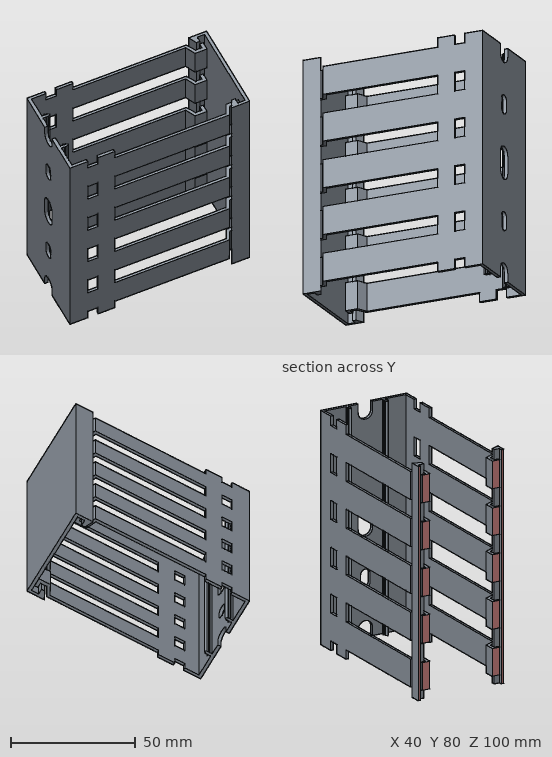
import cadquery as cq

width = 40.0
depth = 80.0
length = 100.0
half_width = width / 2

side_wall = 1.2
base_wall = 1.5

finger_outer_inset = 4.0
finger_inner_inset = 5.5
hook_tip_inset = 1.9
finger_top = 77.6
hook_underside = 76.0
outer_bend_y = 70.95
inner_bend_y = 70.05
bend_rise = 2.1

finger_pitch = 20.0
finger_width = 12.0
slot_width = finger_pitch - finger_width
slot_floor = 20.0
window_bottom = 8.0
window_top = 12.6

large_slot_length = 14.0
large_slot_width = 6.7
large_slot_pitch = length / 2
small_slot_length = 8.0
small_slot_width = 4.4
small_slot_offset = length / 4
slot_angle = 90

rib_spacing = 17.1
rib_half_stem = 0.6
rib_root_y = base_wall / 2
rib_tip = 4.8
rib_upper_barb_y = 3.9
rib_upper_barb_half = 0.7
rib_lower_root_y = 3.3
rib_lower_barb_y = 2.8
rib_lower_barb_half = 1.15

cover_wall = 1.5
cover_leg_wall = 1.2
cover_leg_end = 72.0
catch_top = 75.3
catch_inset = 3.6
catch_rise = 1.7


def extrude_outline(points):
    return cq.Workplane("XY").polyline(points).close().extrude(length)


def mirrored_outline(right_half):
    """Close a right-hand half outline with its mirror image in the YZ plane."""
    left_half = [(-x, y) for x, y in reversed(right_half)]
    return extrude_outline(right_half + left_half)


def duct_channel():
    """Extruded U section whose side walls jog inward and end in outward hooks."""
    outer_bend_x = half_width - finger_outer_inset
    inner_bend_x = half_width - finger_inner_inset
    hook_tip_x = half_width - hook_tip_inset
    inner_wall_x = half_width - side_wall
    return mirrored_outline([
        (half_width, 0),
        (half_width, outer_bend_y),
        (outer_bend_x, outer_bend_y + bend_rise),
        (outer_bend_x, hook_underside),
        (hook_tip_x, hook_underside),
        (hook_tip_x, finger_top),
        (inner_bend_x, finger_top),
        (inner_bend_x, inner_bend_y + bend_rise),
        (inner_wall_x, inner_bend_y),
        (inner_wall_x, base_wall),
    ])


def barbed_rib(center_x):
    """Full-length rib with two tiers of barbs, rooted in the base wall."""
    right_half = [
        (rib_half_stem, rib_root_y),
        (rib_half_stem, rib_lower_barb_y),
        (rib_lower_barb_half, rib_lower_barb_y),
        (rib_half_stem, rib_lower_root_y),
        (rib_half_stem, rib_upper_barb_y),
        (rib_upper_barb_half, rib_upper_barb_y),
    ]
    left_half = [(-x, y) for x, y in reversed(right_half)]
    return extrude_outline(right_half + [(0, rib_tip)] + left_half).translate((center_x, 0, 0))


def side_opening(bottom, top, center_z):
    """Block that cuts both side walls between two heights above the base."""
    opening = cq.Workplane("XY").box(width, top - bottom, slot_width)
    return opening.translate((0, (bottom + top) / 2, center_z))


def mounting_slot(span, breadth, center_z):
    """Round-ended slot through the base, long in Z."""
    slot = cq.Workplane("XZ").slot2D(span, breadth, slot_angle).extrude(-base_wall)
    return slot.translate((0, 0, center_z))


def make_duct():
    duct = duct_channel()
    for center_x in (-rib_spacing / 2, rib_spacing / 2):
        duct = duct.union(barbed_rib(center_x))
    for index in range(round(length / finger_pitch) + 1):
        center_z = index * finger_pitch
        duct = duct.cut(side_opening(slot_floor, depth, center_z))
        duct = duct.cut(side_opening(window_bottom, window_top, center_z))
    for index in range(round(length / large_slot_pitch) + 1):
        duct = duct.cut(mounting_slot(large_slot_length, large_slot_width, index * large_slot_pitch))
    for center_z in (small_slot_offset, length - small_slot_offset):
        duct = duct.cut(mounting_slot(small_slot_length, small_slot_width, center_z))
    return duct


def make_cover():
    """Lid with two short legs, each ending in an inward catch under the finger hooks."""
    leg_inner_x = half_width - cover_leg_wall
    catch_x = half_width - catch_inset
    return mirrored_outline([
        (half_width, depth),
        (half_width, cover_leg_end),
        (catch_x, cover_leg_end + catch_rise),
        (catch_x, catch_top),
        (leg_inner_x, catch_top),
        (leg_inner_x, depth - cover_wall),
    ])


duct = make_duct()
cover = make_cover()
result = cq.Compound.makeCompound([duct.val(), cover.val()])